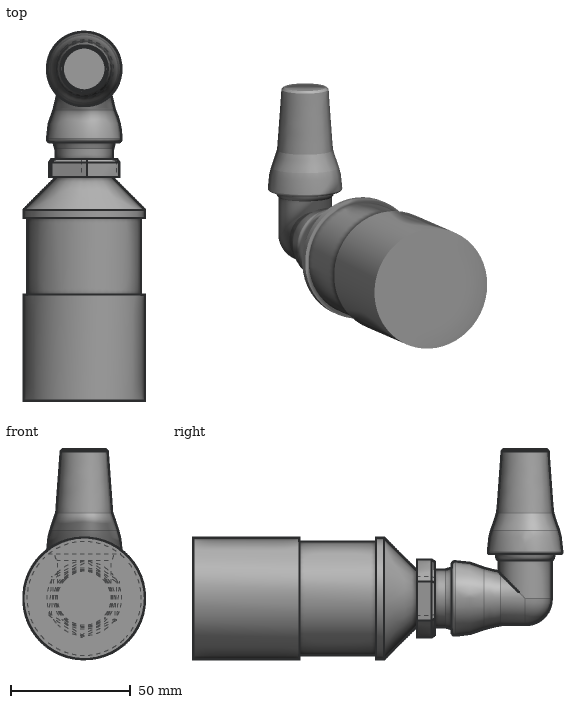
import cadquery as cq
import math

overall_length = 153.9
nozzle_height = 62.2

body_radius = 50.8 / 2
barrel_radius = 47.5 / 2
body_step_y = 44.3
flange_start_y = 76.2
flange_end_y = 79.5
nut_start_y = 93.3
cone_small_radius = body_radius - (nut_start_y - flange_end_y)

nut_corner_radius = 16.3
nut_end_y = 100.8
nut_chamfer_length = 1.5
nut_chamfer_depth = 1.1
nut_turn = 4.0

stem_radius = 24.2 / 2
stem_end_y = 105.1
ball_neck_radius = 12.8
elbow_radius = 22.3 / 2
collar_radius = 15.5
elbow_y = overall_length - collar_radius
socket_mouth_y = 107.7
socket_lip_y = 109.3
socket_bulge_end_y = 121.3
socket_bulge_end_radius = 12.8
socket_end_y = 128.2

elbow_top_z = 15.9
nozzle_neck_radius = 12.2
neck_widest_z = 17.5
nozzle_mouth_z = 18.5
nozzle_lip_z = 19.4
nozzle_bulge_end_z = 28.3
nozzle_bulge_end_radius = 14.2
spout_start_z = 35.7
spout_base_radius = 23.4 / 2
spout_tip_radius = 9.9
tip_chamfer = 1.0


def bulge_middle(start, end):
    """Middle of the arc that leaves start parallel to the axis and curves inwards to end."""
    inward = start[0] - end[0]
    along = end[1] - start[1]
    arc_radius = (inward**2 + along**2) / (2 * inward)
    half_sweep = math.atan2(inward, along)
    return (
        start[0] - arc_radius * (1 - math.cos(half_sweep)),
        start[1] + arc_radius * math.sin(half_sweep),
    )


def lip_middle(lip_round):
    """Offsets, inwards and towards the mouth, of the middle of a quarter-round lip."""
    return lip_round * (1 - math.sqrt(0.5)), lip_round * math.sqrt(0.5)


def make_body():
    """Turned body with its flange and cone, up to the nut."""
    return (
        cq.Workplane("XY")
        .lineTo(body_radius, 0)
        .lineTo(body_radius, body_step_y)
        .lineTo(barrel_radius, body_step_y)
        .lineTo(barrel_radius, flange_start_y)
        .lineTo(body_radius, flange_start_y)
        .lineTo(body_radius, flange_end_y)
        .lineTo(cone_small_radius, nut_start_y)
        .lineTo(0, nut_start_y)
        .close()
        .revolve(360, (0, 0), (0, 1))
    )


def hexagon_points(corner_radius):
    """Corners in a plane whose local axes are -X and Z."""
    angles = [math.radians(nut_turn + 60 * i) for i in range(6)]
    return [(-corner_radius * math.sin(a), corner_radius * math.cos(a)) for a in angles]


def make_nut():
    """Hexagon nut with tapered faces on its elbow-side end."""
    chamfer_y = nut_end_y - nut_chamfer_length
    corners = hexagon_points(nut_corner_radius)
    end_corners = hexagon_points(nut_corner_radius - nut_chamfer_depth)
    plane = cq.Plane(origin=(0, nut_start_y, 0), xDir=(-1, 0, 0), normal=(0, 1, 0))
    prism = cq.Workplane(plane).polyline(corners).close().extrude(chamfer_y - nut_start_y)
    taper = (
        cq.Workplane(plane)
        .workplane(offset=chamfer_y - nut_start_y)
        .polyline(corners)
        .close()
        .workplane(offset=nut_chamfer_length)
        .polyline(end_corners)
        .close()
        .loft(ruled=True)
    )
    return prism.union(taper)


def make_socket():
    """Stem and flared socket, running along Y to the centre of the elbow."""
    lip_round = socket_lip_y - socket_mouth_y
    lip_inward, lip_outward = lip_middle(lip_round)
    bulge_start = (collar_radius, socket_lip_y)
    bulge_end = (socket_bulge_end_radius, socket_bulge_end_y)
    return (
        cq.Workplane("XY")
        .moveTo(0, nut_start_y)
        .lineTo(stem_radius, nut_start_y)
        .lineTo(stem_radius, stem_end_y)
        .lineTo(ball_neck_radius, socket_mouth_y)
        .lineTo(collar_radius - lip_round, socket_mouth_y)
        .threePointArc((collar_radius - lip_inward, socket_lip_y - lip_outward), bulge_start)
        .threePointArc(bulge_middle(bulge_start, bulge_end), bulge_end)
        .lineTo(elbow_radius, socket_end_y)
        .lineTo(elbow_radius, elbow_y)
        .lineTo(0, elbow_y)
        .close()
        .revolve(360, (0, 0), (0, 1))
    )


def make_nozzle():
    """Upright leg of the elbow with the flared nozzle on top."""
    lip_round = nozzle_lip_z - nozzle_mouth_z
    lip_inward, lip_outward = lip_middle(lip_round)
    bulge_start = (collar_radius, nozzle_lip_z)
    bulge_end = (nozzle_bulge_end_radius, nozzle_bulge_end_z)
    return (
        cq.Workplane("XZ", origin=(0, elbow_y, 0))
        .lineTo(elbow_radius, 0)
        .lineTo(elbow_radius, elbow_top_z)
        .threePointArc((nozzle_neck_radius, neck_widest_z), (nozzle_neck_radius, nozzle_mouth_z))
        .lineTo(collar_radius - lip_round, nozzle_mouth_z)
        .threePointArc((collar_radius - lip_inward, nozzle_lip_z - lip_outward), bulge_start)
        .threePointArc(bulge_middle(bulge_start, bulge_end), bulge_end)
        .lineTo(spout_base_radius, spout_start_z)
        .lineTo(spout_tip_radius, nozzle_height - tip_chamfer)
        .lineTo(spout_tip_radius - tip_chamfer, nozzle_height)
        .lineTo(0, nozzle_height)
        .close()
        .revolve(360, (0, 0), (0, 1))
    )


elbow_corner = cq.Workplane("XY", origin=(0, elbow_y, 0)).sphere(elbow_radius)

result = make_body().union(make_nut()).union(make_socket()).union(make_nozzle()).union(elbow_corner)